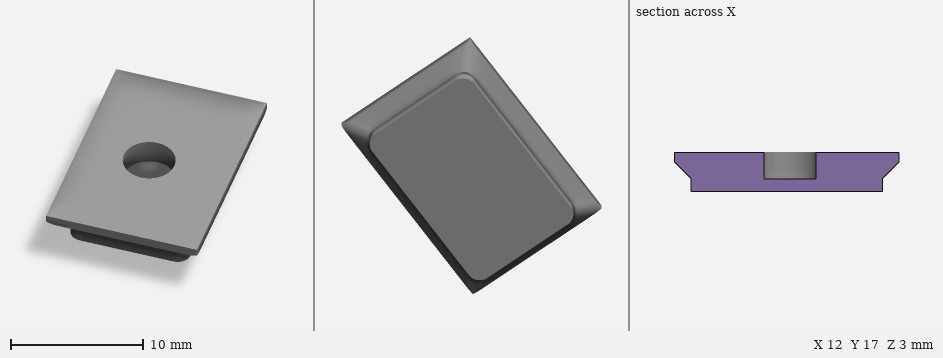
import cadquery as cq

LENGTH_X = 12.0
LENGTH_Y = 17.0
HEIGHT = 3.0

FOOT_INSET = 1.25
FOOT_HEIGHT = 1.0
CORNER_RADIUS = 1.0

HOLE_DIAMETER = 4.0
HOLE_DEPTH = 2.0
HOLE_X = -0.5
HOLE_Y = -0.25


def tapered_plate():
    """Plate with its lower edges chamfered at 45 degrees and the sloping corners rounded."""
    plate = (
        cq.Workplane("XY")
        .workplane(offset=FOOT_HEIGHT)
        .rect(LENGTH_X, LENGTH_Y)
        .extrude(HEIGHT - FOOT_HEIGHT)
        .faces("<Z")
        .chamfer(FOOT_INSET)
    )
    sloping_corners = plate.edges("not(#X or #Y or #Z)")
    return sloping_corners.fillet(CORNER_RADIUS)


def foot():
    """Straight rectangular foot with rounded vertical corners."""
    return (
        cq.Workplane("XY")
        .rect(LENGTH_X - 2 * FOOT_INSET, LENGTH_Y - 2 * FOOT_INSET)
        .extrude(FOOT_HEIGHT)
        .edges("|Z")
        .fillet(CORNER_RADIUS)
    )


def blind_hole():
    """Flat-bottomed round hole sunk from the top face."""
    return (
        cq.Workplane("XY")
        .workplane(offset=HEIGHT - HOLE_DEPTH)
        .center(HOLE_X, HOLE_Y)
        .circle(HOLE_DIAMETER / 2)
        .extrude(HOLE_DEPTH)
    )


result = tapered_plate().union(foot()).cut(blind_hole())